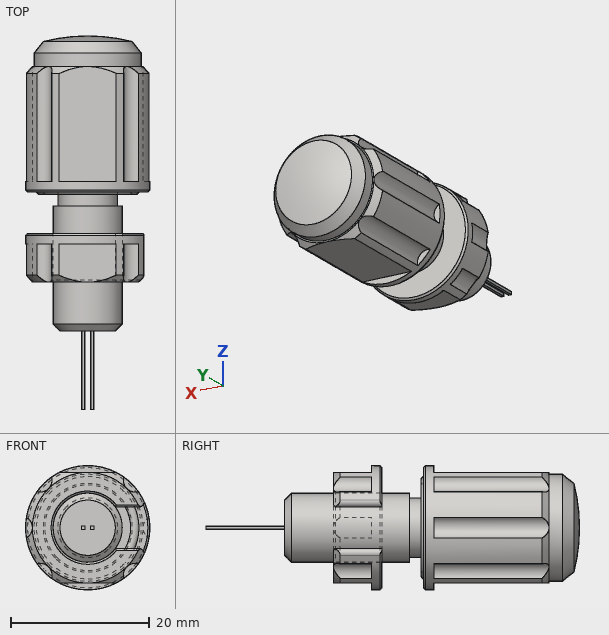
import cadquery as cq
import math


rim_radius = 8.99
flat_height = 8.0
end_chamfer = rim_radius - flat_height
edge_chamfer = 0.295
rim_width = 1.5
flute_radius = 1.7
flute_angles = (0, 45, 135, 180, 225, 315)

shoulder_y = 18.15
crown_radius = 7.75
crown_cone_y = 20.1
dome_base_radius = 6.45
dome_base_y = 21.75
crown_top_y = 22.6
neck_radius = 4.3
neck_length = 2.0
stem_radius = 4.995
stem_length = 20.1
overall_length = 54
ring_radius = 6.8
ring_section_radius = 0.675
ring_height = 0.4
wire_size = 0.5
wire_pitch = 1.3

nut_seat_y = -6.0
nut_length = 7.0
slot_half_width = 3.0
lip_fillet = 0.7


def cylinder(radius, y_start, y_end):
    return cq.Workplane("XZ", origin=(0, y_start, 0)).circle(radius).extrude(y_start - y_end)


def revolve_about_y(profile):
    return profile.close().revolve(360, (0, 0, 0), (0, 1, 0))


def grip_cutter(y_start, y_end):
    """Material outside the two flats plus the rods that form the flutes."""
    length = y_end - y_start
    middle_y = (y_start + y_end) / 2
    slab_size = 2 * rim_radius
    cutter = cq.Workplane("XY")
    for side in (1, -1):
        slab_z = side * (flat_height + slab_size / 2)
        cutter = cutter.add(cq.Workplane("XY").box(2 * slab_size, length, slab_size)
                            .translate((0, middle_y, slab_z)))
    flute_distance = flat_height + flute_radius
    for angle in flute_angles:
        x = flute_distance * math.cos(math.radians(angle))
        z = flute_distance * math.sin(math.radians(angle))
        cutter = cutter.add(cylinder(flute_radius, y_start, y_end).translate((x, 0, z)))
    return cutter.combine()


def make_housing():
    dome_sagitta = crown_top_y - dome_base_y
    dome_radius = (dome_base_radius ** 2 + dome_sagitta ** 2) / (2 * dome_sagitta)
    dome_half_angle = math.asin(dome_base_radius / dome_radius) / 2
    dome_mid = (
        dome_radius * math.sin(dome_half_angle),
        crown_top_y - dome_radius * (1 - math.cos(dome_half_angle)),
    )
    body = revolve_about_y(
        cq.Workplane("XY")
        .moveTo(0, -stem_length)
        .lineTo(stem_radius - end_chamfer, -stem_length)
        .lineTo(stem_radius, end_chamfer - stem_length)
        .lineTo(stem_radius, -neck_length)
        .lineTo(neck_radius, -neck_length)
        .lineTo(neck_radius, 0)
        .lineTo(rim_radius - edge_chamfer, 0)
        .lineTo(rim_radius, edge_chamfer)
        .lineTo(rim_radius, shoulder_y - end_chamfer)
        .lineTo(rim_radius - end_chamfer, shoulder_y)
        .lineTo(crown_radius, shoulder_y)
        .lineTo(crown_radius, crown_cone_y)
        .lineTo(dome_base_radius, dome_base_y)
        .threePointArc(dome_mid, (0, crown_top_y))
    )
    body = body.cut(grip_cutter(rim_width, shoulder_y))

    sealing_ring = (
        cq.Workplane("XY")
        .center(ring_radius, ring_section_radius - ring_height)
        .circle(ring_section_radius)
        .revolve(360, (-ring_radius, 0, 0), (-ring_radius, 1, 0))
    )
    body = body.union(sealing_ring)

    wires = (
        cq.Workplane("XZ", origin=(0, -stem_length, 0))
        .pushPoints([(-wire_pitch / 2, 0), (wire_pitch / 2, 0)])
        .rect(wire_size, wire_size)
        .extrude(overall_length - crown_top_y - stem_length)
    )
    return body.union(wires)


def nut_opening():
    """Hole for the stem with a side slot to +X, both widened at the free end by a chamfer."""
    nut_end_y = nut_seat_y - nut_length
    chamfer_y = nut_end_y + edge_chamfer
    slot_length = 2 * rim_radius
    hole = revolve_about_y(
        cq.Workplane("XY")
        .moveTo(0, nut_seat_y)
        .lineTo(stem_radius, nut_seat_y)
        .lineTo(stem_radius, chamfer_y)
        .lineTo(stem_radius + edge_chamfer, nut_end_y)
        .lineTo(0, nut_end_y)
    )
    wide_half = slot_half_width + edge_chamfer
    slot_chamfer = (
        cq.Workplane("YZ")
        .polyline([
            (nut_end_y, -wide_half),
            (nut_end_y, wide_half),
            (chamfer_y, slot_half_width),
            (chamfer_y, -slot_half_width),
        ])
        .close()
        .extrude(slot_length)
    )
    return hole.union(slot_chamfer)


def make_nut():
    nut_end_y = nut_seat_y - nut_length

    slot = (
        cq.Workplane("XY")
        .box(2 * rim_radius, nut_length, 2 * slot_half_width)
        .translate((rim_radius, nut_seat_y - nut_length / 2, 0))
    )
    plate = cylinder(rim_radius, nut_seat_y, nut_end_y).cut(slot)
    plate = plate.cut(cylinder(stem_radius, nut_seat_y, nut_end_y))
    lip_x = math.sqrt(rim_radius ** 2 - slot_half_width ** 2)
    lip_edges = cq.selectors.BoxSelector(
        (lip_x - 0.55, nut_end_y, -rim_radius), (lip_x + 0.55, nut_seat_y, rim_radius)
    )
    plate = plate.edges("|Y").edges(lip_edges).fillet(lip_fillet)

    envelope = revolve_about_y(
        cq.Workplane("XY")
        .moveTo(0, nut_end_y)
        .lineTo(rim_radius - end_chamfer, nut_end_y)
        .lineTo(rim_radius, nut_end_y + end_chamfer)
        .lineTo(rim_radius, nut_seat_y - edge_chamfer)
        .lineTo(rim_radius - edge_chamfer, nut_seat_y)
        .lineTo(0, nut_seat_y)
    )
    nut = plate.intersect(envelope)
    nut = nut.cut(grip_cutter(nut_end_y, nut_seat_y - rim_width))
    return nut.cut(nut_opening())


housing = make_housing()
nut = make_nut()
result = cq.Compound.makeCompound([housing.val(), nut.val()])